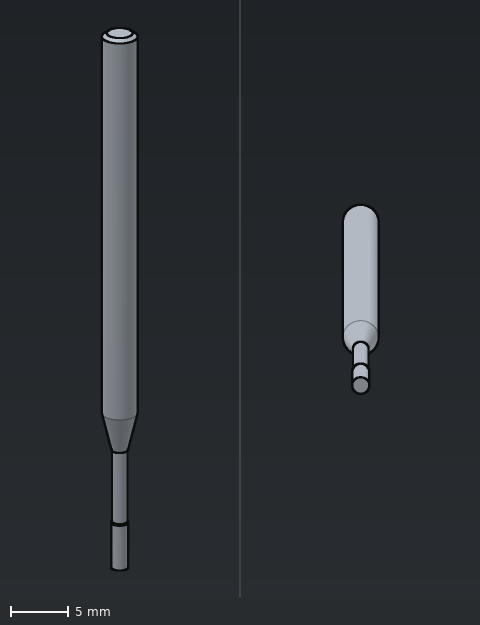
import cadquery as cq

total_length = 50.8
shank_diameter = 3.15
tip_diameter = 1.5

tip_length = 4.25
cone_bottom = 11.3
cone_top = 14.7

neck_relief = 0.07
flare_height = 0.125

bevel_width = 0.43
bevel_height = 0.33

shank_radius = shank_diameter / 2
tip_radius = tip_diameter / 2
neck_radius = tip_radius - neck_relief


def make_holder():
    """Turned shank with a beveled end, tapering down to a relieved neck."""
    profile = (
        cq.Workplane("XZ")
        .moveTo(0, tip_length)
        .lineTo(tip_radius, tip_length)
        .lineTo(neck_radius, tip_length + flare_height)
        .lineTo(neck_radius, cone_bottom - flare_height)
        .lineTo(tip_radius, cone_bottom)
        .lineTo(shank_radius, cone_top)
        .lineTo(shank_radius, total_length - bevel_height)
        .lineTo(shank_radius - bevel_width, total_length)
        .lineTo(0, total_length)
        .close()
    )
    return profile.revolve(360, (0, 0, 0), (0, 1, 0))


def make_tip():
    """Cylindrical working tip that butts against the end of the neck."""
    return cq.Workplane("XY").circle(tip_radius).extrude(tip_length)


holder = make_holder()
tip = make_tip()

result = cq.Compound.makeCompound([holder.val(), tip.val()])